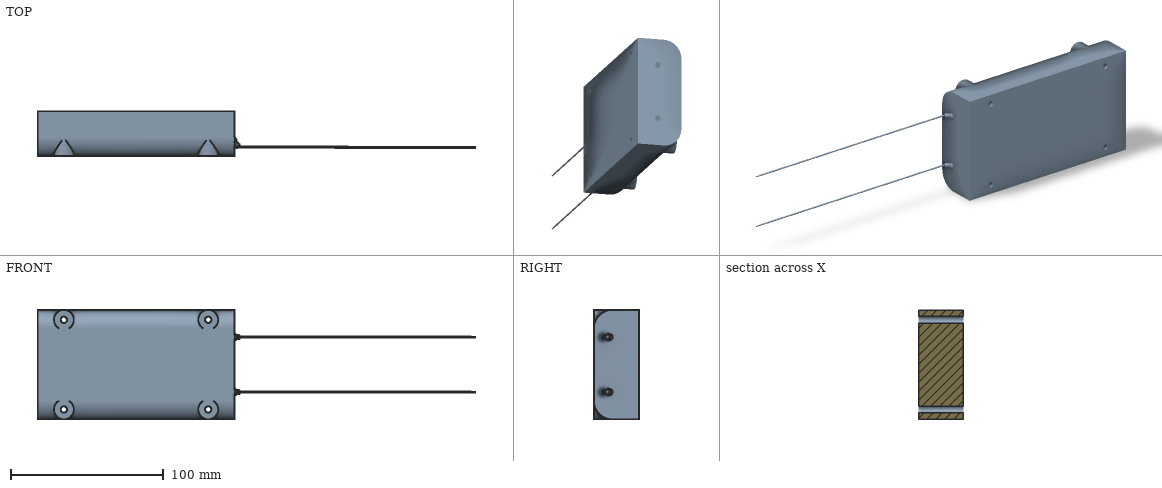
import cadquery as cq
import math


total_length = 286.74
length = 129.0
depth = 29.6
height = 71.7
corner_radius = 12.0

lug_radius = 6.5
lug_hole_diameter = 4.0
lug_spacing_x = 94.5
lug_x = [(length - lug_spacing_x) / 2, (length + lug_spacing_x) / 2]
lug_z = height / 2 - lug_radius

line_spacing = 36.0
line_z = [-line_spacing / 2, line_spacing / 2]

socket_y = 16.2
socket_depth = 12.0
sleeve_diameter = 8.4
plug_diameter = 6.0
plug_bore_diameters = [4.6, 3.0, 1.4]
plug_step_depth = 0.4

gland_tilt = 45.0
gland_y = 8.9
flange_diameter = 4.8
flange_length = 3.0
flange_offset = -0.4
nose_diameter = 3.0
nose_length = 3.9

wire_diameter = 1.0
wire_start_offset = 1.7
wire_y_start = 6.0
wire_y_end = 5.7
wire_tip_length = 3.0
wire_tip_diameter = 0.7


def cylinder(start, direction, diameter, run):
    """Solid round bar from a point along a direction."""
    return cq.Workplane(cq.Solid.makeCylinder(diameter / 2, run, cq.Vector(*start), cq.Vector(*direction)))


def socket_cylinder(z, diameter, run):
    """Round bar on a socket axis, running inwards from the left end face."""
    return cylinder((0, socket_y, z), (1, 0, 0), diameter, run)


tilt = math.radians(gland_tilt)
gland_direction = (math.cos(tilt), -math.sin(tilt), 0)


def along_gland(z, distance):
    """Point on a gland axis, measured from where it crosses the right end face."""
    return (
        length + distance * gland_direction[0],
        gland_y + distance * gland_direction[1],
        z,
    )


def make_gland_blank(z):
    flange_start = along_gland(z, flange_offset - flange_length)
    nose_start = along_gland(z, flange_offset)
    flange = cylinder(flange_start, gland_direction, flange_diameter, flange_length)
    nose = cylinder(nose_start, gland_direction, nose_diameter, nose_length)
    return flange.union(nose)


def make_wire(z):
    """Straight wire that starts inside the gland nose and ends in a thin bare tip."""
    start = cq.Vector(length + wire_start_offset, wire_y_start, z)
    end = cq.Vector(total_length, wire_y_end, z)
    direction = (end - start).normalized()
    run = (end - start).Length
    jacket = cylinder(start.toTuple(), direction.toTuple(), wire_diameter, run - wire_tip_length)
    tip = cylinder(start.toTuple(), direction.toTuple(), wire_tip_diameter, run)
    return jacket.union(tip)


def make_housing():
    body = cq.Workplane("XY").box(length, depth, height, centered=(False, False, True))
    body = body.edges("|X and <Y").fillet(corner_radius)
    for x in lug_x:
        for z in (-lug_z, lug_z):
            body = body.union(cylinder((x, 0, z), (0, 1, 0), 2 * lug_radius, corner_radius))
            body = body.cut(cylinder((x, 0, z), (0, 1, 0), lug_hole_diameter, depth))
    for z in line_z:
        body = body.cut(socket_cylinder(z, sleeve_diameter, socket_depth))
        body = body.cut(make_gland_blank(z))
    return body


def make_sleeve(z):
    sleeve = socket_cylinder(z, sleeve_diameter, socket_depth)
    return sleeve.cut(socket_cylinder(z, plug_diameter, socket_depth))


def make_plug(z):
    """Plug with a stepped blind bore, one step deeper for each smaller diameter."""
    plug = socket_cylinder(z, plug_diameter, socket_depth)
    for step, bore_diameter in enumerate(plug_bore_diameters, start=1):
        plug = plug.cut(socket_cylinder(z, bore_diameter, step * plug_step_depth))
    return plug


housing = make_housing()
sleeves = [make_sleeve(z) for z in line_z]
plugs = [make_plug(z) for z in line_z]
wires = [make_wire(z) for z in line_z]
glands = [make_gland_blank(z).cut(wire) for z, wire in zip(line_z, wires)]

parts = [housing, *sleeves, *plugs, *glands, *wires]
result = cq.Compound.makeCompound([part.val() for part in parts])